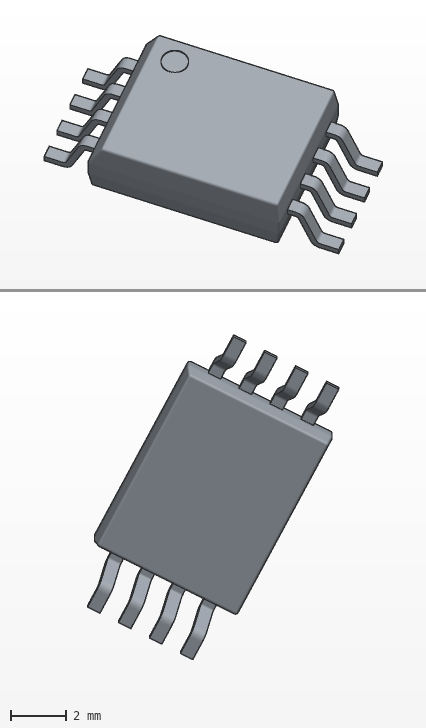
import cadquery as cq
import math

span = 11.5
total_height = 2.7

package_length = 7.5
package_width = 5.9
package_bottom = 0.4
band_bottom = 1.18
band_top = 1.8
side_draft = 8.0
pin_one_end_draft = 30.0
edge_radius = 0.1

mark_diameter = 1.0
mark_depth = 0.05
mark_x = -2.25
mark_y = 1.9

leads_per_side = 4
lead_pitch = 1.26
lead_width = 0.51
lead_thickness = 0.25
shoulder_top = 1.68
shoulder_length = 0.33
shank_angle = 67.0
shoulder_inner_radius = 0.1
foot_inner_radius = 0.15


def draft_inset(height, draft):
    """Distance a face leans inward over a height at a draft angle in degrees."""
    return height * math.tan(math.radians(draft))


def package_outline(plane, width, left_top_draft):
    """Six-sided section: a vertical band with drafted faces above and below it."""
    half = width / 2
    upper_height = total_height - band_top
    lower_inset = draft_inset(band_bottom - package_bottom, side_draft)
    right_inset = draft_inset(upper_height, side_draft)
    left_inset = draft_inset(upper_height, left_top_draft)
    return (
        cq.Workplane(plane)
        .moveTo(-half + lower_inset, package_bottom)
        .lineTo(half - lower_inset, package_bottom)
        .lineTo(half, band_bottom)
        .lineTo(half, band_top)
        .lineTo(half - right_inset, total_height)
        .lineTo(-half + left_inset, total_height)
        .lineTo(-half, band_top)
        .lineTo(-half, band_bottom)
        .close()
    )


def make_package():
    """Moulded package with rounded corners and a shallow round pin-one mark."""
    lengthwise = package_outline("XZ", package_length, pin_one_end_draft).extrude(
        package_width / 2, both=True
    )
    crosswise = package_outline("YZ", package_width, side_draft).extrude(
        package_length / 2, both=True
    )
    block = lengthwise.intersect(crosswise)

    corners = block.edges("not(#Z)")
    rims = block.edges("<Z or >Z")
    rounded = corners.add(rims).fillet(edge_radius)

    mark = (
        cq.Workplane("XY")
        .workplane(offset=total_height - mark_depth)
        .center(mark_x, mark_y)
        .circle(mark_diameter / 2)
        .extrude(mark_depth)
    )
    return rounded.cut(mark)


def make_lead(row_y):
    """Gull-wing lead on the +X end, butting against the vertical band of the package."""
    angle = math.radians(shank_angle)
    face_x = package_length / 2
    tip_x = span / 2
    shoulder_outer_radius = shoulder_inner_radius + lead_thickness
    foot_outer_radius = foot_inner_radius + lead_thickness

    shoulder_x = face_x + shoulder_length
    shoulder_z = shoulder_top - shoulder_outer_radius
    foot_z = foot_outer_radius
    radius_sum = shoulder_inner_radius + foot_outer_radius
    shank_length = (shoulder_z - foot_z + radius_sum * math.cos(angle)) / math.sin(angle)
    foot_x = shoulder_x + radius_sum * math.sin(angle) + shank_length * math.cos(angle)

    def on_shoulder(radius, turn):
        return (shoulder_x + radius * math.sin(turn), shoulder_z + radius * math.cos(turn))

    def on_foot(radius, turn):
        return (foot_x - radius * math.sin(turn), foot_z - radius * math.cos(turn))

    return (
        cq.Workplane("XZ", origin=(0, row_y, 0))
        .moveTo(face_x, shoulder_top)
        .lineTo(*on_shoulder(shoulder_outer_radius, 0))
        .threePointArc(
            on_shoulder(shoulder_outer_radius, angle / 2), on_shoulder(shoulder_outer_radius, angle)
        )
        .lineTo(*on_foot(foot_inner_radius, angle))
        .threePointArc(on_foot(foot_inner_radius, angle / 2), on_foot(foot_inner_radius, 0))
        .lineTo(tip_x, lead_thickness)
        .lineTo(tip_x, 0)
        .lineTo(*on_foot(foot_outer_radius, 0))
        .threePointArc(on_foot(foot_outer_radius, angle / 2), on_foot(foot_outer_radius, angle))
        .lineTo(*on_shoulder(shoulder_inner_radius, angle))
        .threePointArc(
            on_shoulder(shoulder_inner_radius, angle / 2), on_shoulder(shoulder_inner_radius, 0)
        )
        .lineTo(face_x, shoulder_top - lead_thickness)
        .close()
        .extrude(lead_width / 2, both=True)
    )


package = make_package()


leads = []
for row in range(leads_per_side):
    row_y = (row - (leads_per_side - 1) / 2) * lead_pitch
    lead = make_lead(row_y)
    leads.append(lead.val())
    leads.append(lead.mirror("YZ").val())

result = cq.Compound.makeCompound([package.val(), *leads])